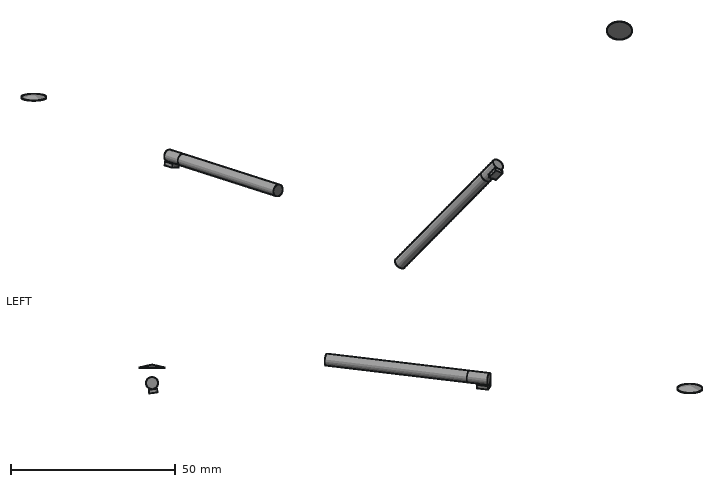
import cadquery as cq

total_length = 120.4

cap_diameter = 7.7
cap_height = 1.1
cap_rim_height = 0.2
cap_base_z = 7.8

rod_diameter = 3.7
rod_axis_z = 3.3
line_length = 52.1
sleeve_length = 6.5

block_length = 3.6
block_width = 2.6
block_height = 1.2
block_turn = 8.0

line_start_x = total_length - line_length
rod_start_x = line_start_x + sleeve_length
rod_length = line_length - sleeve_length
rod_radius = rod_diameter / 2


def make_cap():
    """Revolve half of the cap's section about its vertical axis."""
    radius = cap_diameter / 2
    return (
        cq.Workplane("XZ")
        .polyline([(0, 0), (radius, 0), (radius, cap_rim_height), (0, cap_height)])
        .close()
        .revolve(360, (0, 0), (0, 1))
        .translate((radius, 0, cap_base_z))
    )


def make_round_bar(start_x, length):
    """Round bar on the rod axis, running toward +X from start_x."""
    return (
        cq.Workplane("YZ", origin=(start_x, 0, rod_axis_z))
        .circle(rod_radius)
        .extrude(length)
    )


def make_block():
    """Rectangular bar along X, tangent to the sleeve and flush with its free end."""
    center_below_axis = rod_radius + block_height / 2
    return (
        cq.Workplane("YZ")
        .center(0, -center_below_axis)
        .rect(block_width, block_height)
        .extrude(block_length)
        .rotate((0, 0, 0), (1, 0, 0), -block_turn)
        .translate((line_start_x, 0, rod_axis_z))
    )


cap = make_cap()
sleeve = make_round_bar(line_start_x, sleeve_length)
rod = make_round_bar(rod_start_x, rod_length)
block = make_block()

result = cq.Compound.makeCompound([cap.val(), sleeve.val(), rod.val(), block.val()])